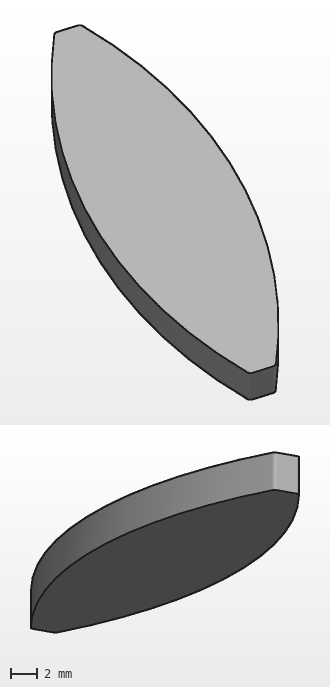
import cadquery as cq

length = 38.0
width = 12.0
thickness = 3.0

end_width = 2.13
corner_radius = 0.38

half_length = length / 2
half_width = width / 2
half_end = end_width / 2

plate = (
    cq.Workplane("XY")
    .moveTo(-half_length, -half_end)
    .threePointArc((0, -half_width), (half_length, -half_end))
    .lineTo(half_length, half_end)
    .threePointArc((0, half_width), (-half_length, half_end))
    .close()
    .extrude(thickness)
)

result = plate.edges("|Z").fillet(corner_radius)